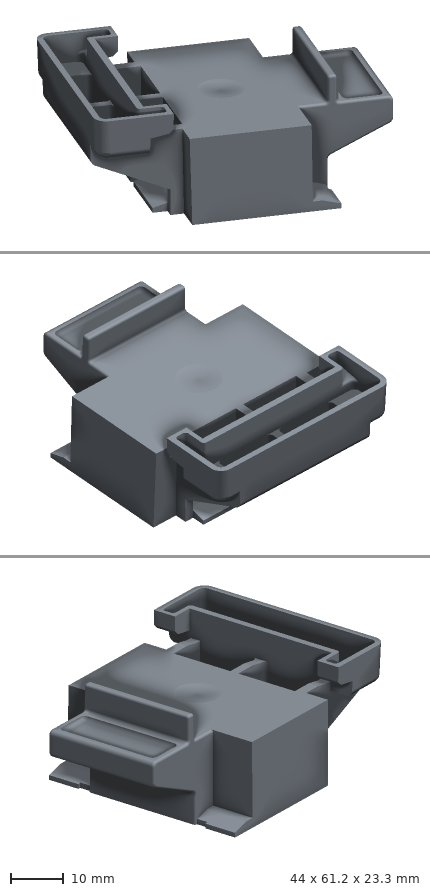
import cadquery as cq
import math


length = 61.2
height = 23.3
width = 44.0
base_half_width = width / 2
top_z = 17.7
slope = math.tan(math.radians(23.8))
overlap = 0.6
pick_margin = 0.03

body_top_half_width = 21.65
body_front_top = 18.35
body_front_base = 18.8
body_rear_top = 42.4
body_rear_base = 42.6
dimple_y = 30.65
dimple_radius = 4.5
dimple_depth = 0.5

lip_tip_height = 1.0
lip_height = 2.0
lip_slope_run = 3.75
rear_lip_y = 48.2
rear_lip_notch_half_width = 15.05
rear_lip_notch_depth = 0.55
front_lip_y = 13.15

tab_base_half_width = 12.65
tab_top_half_width = 12.4
tab_tip_low_z = 12.4
tab_edge_radius = 0.55
tab_tip_radius = 1.0
tab_under_radius = 1.2
ridge_rear = 50.05
ridge_front = rear_lip_y
ridge_root_radius = 0.55
pocket_half_width = 11.25
pocket_front = 51.65
pocket_rear = 59.6
pocket_floor_radius = 1.0
pocket_corner_radius = 1.05

bridge_top_half_width = 16.5
bridge_base_half_width = 16.3
bridge_leg_y = 16.1
bridge_leg_top = 5.3
bridge_nose_radius = 1.6
step_rear = 14.55
step_front = 11.8
step_drop = 0.4

tray_half_width = 21.85
tray_base_half_width = 21.6
tray_front_draft = 0.25
tray_base = 15.3
tray_wall = 1.2
tray_corner_radius = 2.6
tray_under_radius = 1.4
tray_floor = top_z - step_drop
tray_back = 10.6
tray_back_wall = 1.4
cavity_back = tray_back - tray_back_wall
cavity_corner_radius = 1.2
notch_half_width = 16.8

wing_rear = 15.2
wing_chamfer = 0.9
wing_root_z = 18.7
wing_under_z = 19.3
wing_floor_thickness = 1.0
wing_step_radius = 0.55
slot_inner_x = 17.8
slot_corner_radius = 0.8
wall_bend_radius = 0.75

window_inner_x = 0.9
window_outer_x = 14.3
rear_window = (tray_back, 18.95)
front_window = (tray_wall, cavity_back)
window_radius = 0.9


def box(x0, x1, y0, y1, z0, z1):
    """Axis-aligned box between the given limits."""
    return cq.Workplane("XY").box(x1 - x0, y1 - y0, z1 - z0, centered=False).translate((x0, y0, z0))


def drafted_block(half_width_low, y_low, z_low, half_width_high, y_high, z_high):
    """Block with different rectangles, given as half width and (front, rear), at its two ends."""
    low = cq.Workplane("XY").workplane(offset=z_low)
    low = low.center(0, sum(y_low) / 2).rect(2 * half_width_low, y_low[1] - y_low[0])
    shift = (sum(y_high) - sum(y_low)) / 2
    high = low.workplane(offset=z_high - z_low).center(0, shift)
    return high.rect(2 * half_width_high, y_high[1] - y_high[0]).loft(combine=True)


def side_profile(points, half_width):
    """Extrude a (Y, Z) outline symmetrically along X."""
    return cq.Workplane("YZ").polyline(points).close().extrude(half_width, both=True)


def side_draft(half_width_low, z_low, half_width_high, z_high):
    """Full-length block whose two sides lean in X, used to draft a feature."""
    return drafted_block(half_width_low, (0, length), z_low, half_width_high, (0, length), z_high)


def both_sides(solid):
    """The solid together with its mirror image in X."""
    return solid.union(solid.mirror("YZ"))


def pick_box(near, far):
    """Selector for a box between two corners, mirrored in X and grown by the picking margin."""
    return cq.selectors.BoxSelector(
        (-far[0] - pick_margin, near[1] - pick_margin, near[2] - pick_margin),
        (far[0] + pick_margin, far[1] + pick_margin, far[2] + pick_margin),
    )


def edges_at(y, z):
    """Selector for edges along X through the given Y and Z."""
    return pick_box((0, y, z), (base_half_width, y, z))


def make_body():
    body = drafted_block(
        base_half_width, (body_front_base, body_rear_base), 0,
        body_top_half_width, (body_front_top, body_rear_top), top_z,
    )
    dimple = cq.Workplane("XZ").polyline([(0, 0), (dimple_radius, 0), (0, -dimple_depth)]).close()
    dimple = dimple.revolve(360, (0, 0), (0, 1)).translate((0, dimple_y, top_z))
    return body.cut(dimple)


def make_rear_lip():
    y_inside = body_rear_top - overlap
    lip = side_profile(
        [
            (y_inside, 0), (rear_lip_y, 0), (rear_lip_y, lip_tip_height),
            (rear_lip_y - lip_slope_run, lip_height), (y_inside, lip_height),
        ],
        base_half_width,
    )
    notch = box(
        -rear_lip_notch_half_width, rear_lip_notch_half_width,
        rear_lip_y - rear_lip_notch_depth, length, 0, height,
    )
    draft = side_draft(base_half_width, 0, body_top_half_width, top_z)
    return lip.intersect(draft).cut(notch)


def make_tab():
    surplus = 3.05
    y_inside = body_rear_top - surplus
    knee_z = tab_tip_low_z - slope * (length - rear_lip_y)
    tab = side_profile(
        [
            (y_inside, -surplus), (rear_lip_y, -surplus), (rear_lip_y, knee_z),
            (length, tab_tip_low_z), (length, top_z), (ridge_rear, top_z),
            (ridge_rear, height), (ridge_front, height), (ridge_front, top_z), (y_inside, top_z),
        ],
        tab_base_half_width,
    )
    tab = tab.edges(edges_at(length, top_z)).fillet(tab_tip_radius)
    tab = tab.edges(edges_at(length, tab_tip_low_z)).fillet(tab_under_radius)
    tab = tab.edges(edges_at(rear_lip_y, knee_z)).fillet(tab_under_radius)
    for ridge_y in (ridge_rear, ridge_front):
        tab = tab.edges(edges_at(ridge_y, top_z)).fillet(ridge_root_radius)
        tab = tab.edges(edges_at(ridge_y, height)).fillet(tab_edge_radius)
    tab = tab.intersect(side_draft(tab_base_half_width, -surplus, tab_top_half_width, height))
    for side in ("<X", ">X"):
        tab = tab.faces(side).edges().fillet(tab_edge_radius)
    trim = box(
        -base_half_width, base_half_width, body_rear_top - overlap, length, 0, height
    )
    return tab.intersect(trim).cut(make_finger_pocket())


def make_finger_pocket():
    pocket = box(
        -pocket_half_width, pocket_half_width, pocket_front, pocket_rear,
        top_z - pocket_floor_radius, height,
    )
    pocket = pocket.edges("|Z").fillet(pocket_corner_radius)
    return pocket.faces("<Z").edges().fillet(pocket_floor_radius)


def front_face_y(z):
    """Y of the drafted front face at the given height."""
    return tray_front_draft * (height - z) / (height - tray_base)


def make_bridge():
    nose_z = bridge_leg_top + slope * bridge_leg_y
    bridge = side_profile(
        [
            (body_front_base + overlap, 0), (bridge_leg_y, 0), (bridge_leg_y, bridge_leg_top),
            (front_face_y(nose_z), nose_z), (front_face_y(tray_floor), tray_floor),
            (step_front, tray_floor), (step_rear, top_z), (body_front_base + overlap, top_z),
        ],
        bridge_top_half_width,
    )
    bridge = bridge.edges(edges_at(front_face_y(nose_z), nose_z)).fillet(bridge_nose_radius)
    return bridge.intersect(side_draft(bridge_base_half_width, 0, bridge_top_half_width, top_z))


def make_tray():
    tray = drafted_block(
        tray_base_half_width, (tray_front_draft, tray_back), tray_base,
        tray_half_width, (0, tray_back), height,
    )
    tray = tray.faces("<Y").edges("not(|X)").fillet(tray_corner_radius)
    return tray.faces("<Z").edges("not(>Y)").fillet(tray_under_radius)


def make_wings():
    wing = side_profile(
        [
            (tray_back - overlap, wing_root_z), (tray_back, wing_root_z),
            (wing_rear - wing_chamfer, wing_under_z), (wing_rear, wing_under_z + wing_chamfer),
            (wing_rear, height), (tray_back - overlap, height),
        ],
        tray_half_width,
    )
    wing = wing.intersect(side_draft(tray_base_half_width, tray_base, tray_half_width, height))
    return wing.cut(box(-notch_half_width, notch_half_width, tray_back, length, 0, height))


def make_tray_cavity():
    inner_x = tray_half_width - tray_wall
    cavity = box(-inner_x, inner_x, tray_wall, cavity_back, tray_floor, height)
    cavity = cavity.edges("|Z").fillet(cavity_corner_radius)
    slot_front = cavity_back - cavity_corner_radius
    slot_rear = wing_rear - wing_chamfer
    floor_slope = (wing_under_z - wing_root_z) / (slot_rear - tray_back)
    rear_z = wing_under_z + wing_floor_thickness
    front_z = rear_z - floor_slope * (slot_rear - slot_front)
    floor = side_profile(
        [(slot_front, front_z), (slot_rear, rear_z), (slot_rear, height), (slot_front, height)],
        base_half_width,
    )
    slot = box(slot_inner_x, inner_x, slot_front, slot_rear, 0, height)
    slot = slot.edges("|Z and >Y").fillet(slot_corner_radius).intersect(floor)
    cavity = cavity.union(both_sides(slot))
    bend = pick_box((0, cavity_back, front_z), (slot_inner_x, cavity_back, height))
    step = pick_box((0, slot_front, front_z), (inner_x, cavity_back, rear_z))
    cavity = cavity.edges("|Z").edges(bend).fillet(wall_bend_radius)
    return cavity.edges(step).fillet(wing_step_radius)


def make_window(y_limits, rounded):
    """Cutter for one window on the +X side; `rounded` selects its upright edges to round."""
    window = box(window_inner_x, window_outer_x, *y_limits, -overlap, height)
    return window.edges("|Z").edges(rounded).fillet(window_radius)


def make_windows():
    rear = make_window(rear_window, "<X and <Y")
    front = make_window(front_window, "|Z")
    return both_sides(rear.union(front))


def make_front_lips():
    lip = side_profile(
        [
            (front_lip_y, 0), (body_front_base + overlap, 0), (body_front_base + overlap, lip_height),
            (front_lip_y + lip_slope_run, lip_height), (front_lip_y, lip_tip_height),
        ],
        window_outer_x,
    )
    return lip.cut(box(-window_inner_x, window_inner_x, 0, length, 0, height))


result = make_body().union(make_bridge()).union(make_tray()).union(make_wings())
result = result.cut(make_tray_cavity()).cut(make_windows())
result = result.union(make_front_lips()).union(make_rear_lip()).union(make_tab())